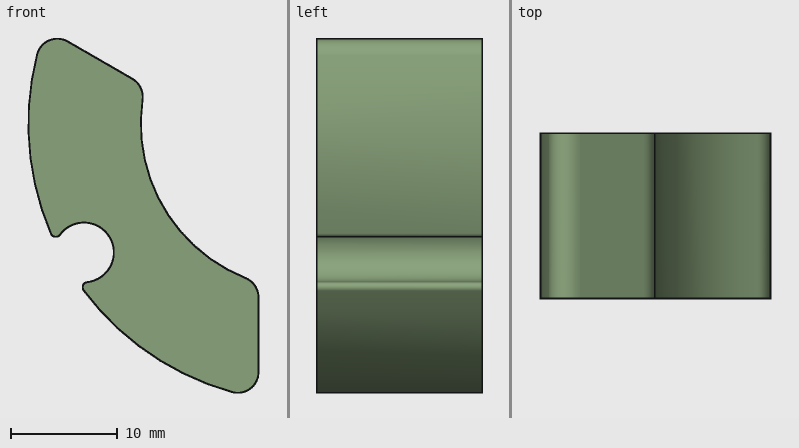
import cadquery as cq
import math

outer_radius = 26.05
inner_radius = 15.52
width = 15.5
end_offset = 4.5
middle_angle = 210
sector_angle = 120
groove_radius = 2.8
groove_distance = 24.07
outer_corner_radius = 1.95
inner_corner_radius = 2.0
groove_lip_radius = 0.5


def on_segment(along, across):
    """Turn a position along and across the symmetry plane into X and Z."""
    angle = math.radians(middle_angle)
    x = along * math.cos(angle) - across * math.sin(angle)
    z = along * math.sin(angle) + across * math.cos(angle)
    return (x, z)


def end_corner(radius, side):
    """Corner where an arc of the given radius meets the end face on one side."""
    end_angle = math.radians(sector_angle / 2) - math.asin(end_offset / radius)
    return (radius * math.cos(end_angle), side * radius * math.sin(end_angle))


def groove_lip(side):
    """Edge where the groove breaks through the outer arc."""
    along = (outer_radius**2 - groove_radius**2 + groove_distance**2) / (2 * groove_distance)
    return (along, side * math.sqrt(outer_radius**2 - along**2))


def round_edges(body, corner, radius):
    """Fillet the mirrored pair of edges through a corner of the profile."""
    for side in (1, -1):
        x, z = on_segment(*corner(side))
        edge = cq.selectors.NearestToPointSelector((x, 0, z))
        body = body.edges("|Y").edges(edge).fillet(radius)
    return body


segment = (
    cq.Workplane("XZ")
    .moveTo(*on_segment(*end_corner(outer_radius, 1)))
    .threePointArc(on_segment(outer_radius, 0), on_segment(*end_corner(outer_radius, -1)))
    .lineTo(*on_segment(*end_corner(inner_radius, -1)))
    .threePointArc(on_segment(inner_radius, 0), on_segment(*end_corner(inner_radius, 1)))
    .close()
    .extrude(width / 2, both=True)
)

groove = (
    cq.Workplane("XZ")
    .center(*on_segment(groove_distance, 0))
    .circle(groove_radius)
    .extrude(width / 2, both=True)
)
body = segment.cut(groove)

body = round_edges(body, lambda side: end_corner(outer_radius, side), outer_corner_radius)
body = round_edges(body, lambda side: end_corner(inner_radius, side), inner_corner_radius)
result = round_edges(body, groove_lip, groove_lip_radius)